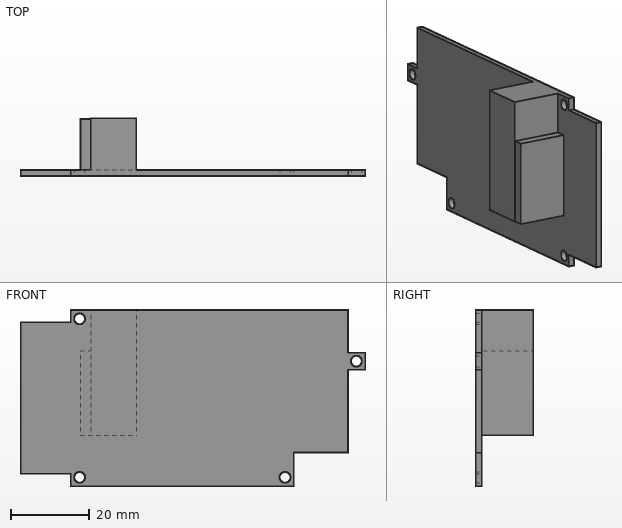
import cadquery as cq

plate_length = 83.5
plate_height = 45.0
plate_thickness = 1.6
left_step_length = 12.75
left_step_height = 3.2
corner_notch_length = 13.8
corner_notch_height = 8.6

total_length = 87.9
tab_height = 4.4
tab_center_z = 31.9

hole_diameter = 2.7
hole_edge_offset = 2.3

total_depth = 14.8
block_left = 17.85
block_width = 11.7
block_bottom = 13.0
shoulder_width = 2.6
shoulder_top = 34.55
shoulder_setback = 0.2


def box(x_range, y_range, z_range):
    """Axis-aligned box given by its limits along X, Y and Z."""
    sizes = [high - low for low, high in (x_range, y_range, z_range)]
    corner = (x_range[0], y_range[0], z_range[0])
    return cq.Workplane("XY").box(*sizes, centered=False).translate(corner)


def make_plate():
    notch_left = plate_length - corner_notch_length
    tab_bottom = tab_center_z - tab_height / 2
    tab_top = tab_center_z + tab_height / 2
    outline = [
        (0, left_step_height),
        (left_step_length, left_step_height),
        (left_step_length, 0),
        (notch_left, 0),
        (notch_left, corner_notch_height),
        (plate_length, corner_notch_height),
        (plate_length, tab_bottom),
        (total_length, tab_bottom),
        (total_length, tab_top),
        (plate_length, tab_top),
        (plate_length, plate_height),
        (left_step_length, plate_height),
        (left_step_length, plate_height - left_step_height),
        (0, plate_height - left_step_height),
    ]
    return cq.Workplane("XZ").polyline(outline).close().extrude(-plate_thickness)


def make_holes():
    left_x = left_step_length + hole_edge_offset
    right_x = plate_length - corner_notch_length - hole_edge_offset
    centers = [
        (left_x, hole_edge_offset),
        (left_x, plate_height - hole_edge_offset),
        (right_x, hole_edge_offset),
        (total_length - hole_edge_offset, tab_center_z),
    ]
    holes = cq.Workplane("XZ").pushPoints(centers).circle(hole_diameter / 2)
    return holes.extrude(-plate_thickness)


def make_block():
    main = box(
        (block_left, block_left + block_width),
        (0, total_depth),
        (block_bottom, plate_height),
    )
    shoulder = box(
        (block_left - shoulder_width, block_left),
        (0, total_depth - shoulder_setback),
        (block_bottom, shoulder_top),
    )
    return main.union(shoulder)


result = make_plate().cut(make_holes()).union(make_block())